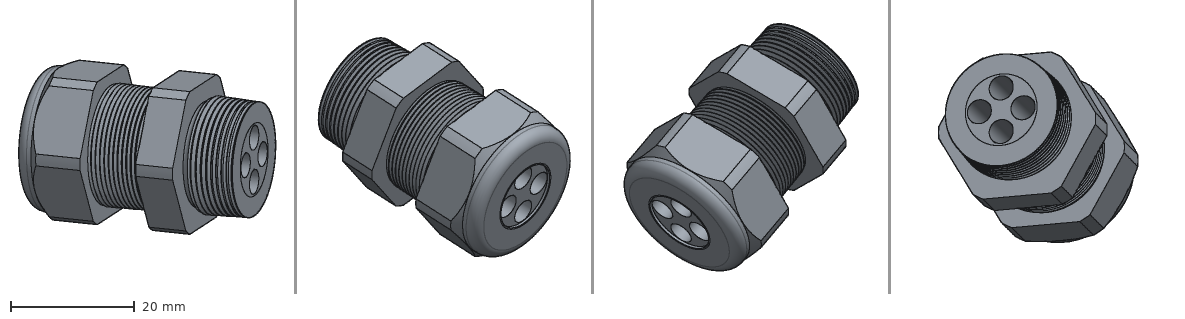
import cadquery as cq
import math

length = 36.83
nut_end = 11.85
collar_start = 21.5
collar_end = 27.95

across_flats = 23.85
across_rounded_corners = 26.48
corner_radius = across_rounded_corners / 2

dome_radius = 11.9
dome_fillet = 2.03
dome_end = 2.8
chamfer_end = 4.15

flank_slope = math.tan(math.radians(60))

nut_thread_root = 9.4
nut_thread_first_root = 12.15
nut_thread_last_root = 21.3
nut_thread_grooves = 13
nut_thread_start_crest = 10.05
nut_thread_end_crest = 9.9

entry_thread_root = 8.95
entry_thread_first_root = 29.25
entry_thread_last_root = 36.4
entry_thread_grooves = 9
entry_thread_start_crest = 9.7
entry_thread_end_crest = 9.43

relief_start_radius = 8.7
relief_middle_x = 28.73
relief_middle_radius = 9.02
relief_end = 29.0

insert_radius = 6.05
recess_radius = 5.8
recess_depth = 0.48
cable_hole_count = 4
cable_hole_radius = 2.03
cable_hole_offset = 3.7


def cylinder(start, end, radius):
    """Solid cylinder along X between two stations."""
    return cq.Workplane("YZ", origin=(start, 0, 0)).circle(radius).extrude(end - start)


def hexagon(start, end):
    """Hexagonal prism along X with flats at the top and bottom."""
    across_corners = across_flats / math.cos(math.pi / 6)
    return cq.Workplane("YZ", origin=(start, 0, 0)).polygon(6, across_corners).extrude(end - start)


def revolve_about_x(outline):
    """Revolve a closed outline, drawn as X and radius, about the X axis."""
    return outline.revolve(360, (0, 0, 0), (1, 0, 0))


def cap_nut():
    """Hexagon with a domed front and chamfered corners."""
    arc_step = dome_fillet * (1 - math.sqrt(0.5))
    envelope = revolve_about_x(
        cq.Workplane("XZ")
        .lineTo(0, dome_radius - dome_fillet)
        .threePointArc((arc_step, dome_radius - arc_step), (dome_fillet, dome_radius))
        .lineTo(dome_end, dome_radius)
        .lineTo(chamfer_end, corner_radius)
        .lineTo(nut_end, corner_radius)
        .lineTo(nut_end, 0)
        .close()
    )
    return hexagon(0, nut_end).intersect(envelope)


def collar():
    """Hexagon with rounded corners between the two threads."""
    return hexagon(collar_start, collar_end).intersect(
        cylinder(collar_start, collar_end, corner_radius)
    )


def thread_points(first_root, last_root, grooves, root, start_crest, end_crest):
    """Groove roots and the crest flats between them, as X and radius."""
    pitch = (last_root - first_root) / (grooves - 1)
    points = []
    for index in range(grooves):
        root_x = first_root + index * pitch
        points.append((root_x, root))
        if index < grooves - 1:
            crest = start_crest + (end_crest - start_crest) * index / (grooves - 2)
            flank_run = (crest - root) / flank_slope
            points.append((root_x + flank_run, crest))
            points.append((root_x + pitch - flank_run, crest))
    return points


def nut_thread():
    """Threaded barrel between the cap nut and the collar."""
    start_radius = nut_thread_root + (nut_thread_first_root - nut_end) * flank_slope
    end_radius = nut_thread_root + (collar_start - nut_thread_last_root) * flank_slope
    outline = [(nut_end, 0), (nut_end, start_radius)]
    outline += thread_points(
        nut_thread_first_root, nut_thread_last_root, nut_thread_grooves,
        nut_thread_root, nut_thread_start_crest, nut_thread_end_crest,
    )
    outline += [(collar_start, end_radius), (collar_start, 0)]
    return revolve_about_x(cq.Workplane("XZ").polyline(outline).close())


def entry_thread():
    """Threaded end behind the collar, with a hollow relief before its first ridge."""
    last_flank_run = (entry_thread_end_crest - entry_thread_root) / flank_slope
    last_crest_x = entry_thread_last_root + last_flank_run
    relief_end_radius = entry_thread_root + (entry_thread_first_root - relief_end) * flank_slope
    ridges = thread_points(
        entry_thread_first_root, entry_thread_last_root, entry_thread_grooves,
        entry_thread_root, entry_thread_start_crest, entry_thread_end_crest,
    )
    outline = cq.Workplane("XZ").moveTo(collar_end, 0).lineTo(collar_end, relief_start_radius)
    outline = outline.threePointArc(
        (relief_middle_x, relief_middle_radius), (relief_end, relief_end_radius)
    )
    for point in ridges:
        outline = outline.lineTo(*point)
    outline = (
        outline.lineTo(last_crest_x, entry_thread_end_crest)
        .lineTo(length, entry_thread_end_crest)
        .lineTo(length, 0)
        .close()
    )
    return revolve_about_x(outline)


def make_gland():
    """Cap nut, threads and collar in one piece, bored through for the insert."""
    outside = cap_nut().union(nut_thread()).union(collar()).union(entry_thread())
    return outside.cut(cylinder(0, length, insert_radius))


def make_insert():
    """Plug that fills the gland's bore, with a shallow front recess and four cable holes."""
    plug = cylinder(0, length, insert_radius).cut(cylinder(0, recess_depth, recess_radius))
    cable_holes = (
        cq.Workplane("YZ")
        .polarArray(cable_hole_offset, 0, 360, cable_hole_count)
        .circle(cable_hole_radius)
        .extrude(length)
    )
    return plug.cut(cable_holes)


gland = make_gland()
insert = make_insert()
result = cq.Compound.makeCompound([gland.val(), insert.val()])